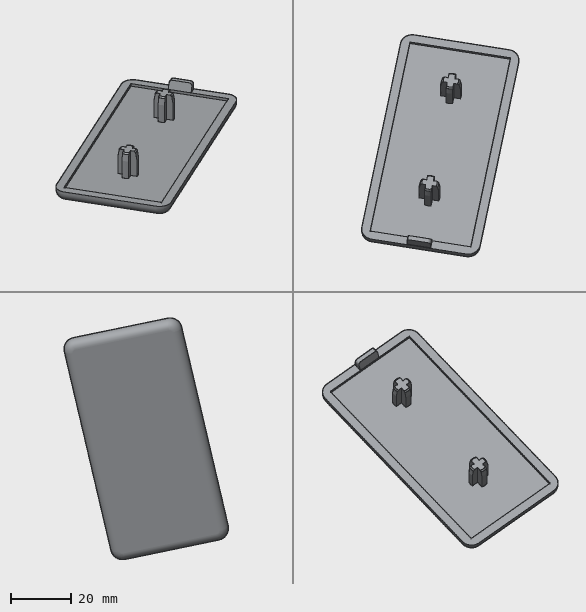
import cadquery as cq

width = 40.0
length = 80.0
plate_height = 4.0
corner_radius = 4.0
bottom_radius = 3.0

recess_width = 34.0
recess_length = 74.0
recess_depth = 1.0
recess_floor = plate_height - recess_depth

post_spacing = 40.0
post_top = 12.5
post_radius = 3.4
x_arm_thickness = 1.9
y_arm_thickness = 2.2
taper_height = 3.0
taper_end_radius = 3.0
tip_height = 0.5
tip_radius = 2.6

tab_width = 8.0
tab_height = 3.0
tab_edge_gap = 0.2
tab_top_depth = 1.6
tab_corner_radius = 1.0


def make_plate():
    """Rounded rectangular plate with a rounded lower edge and a shallow recess."""
    plate = (
        cq.Workplane("XY")
        .rect(width, length)
        .extrude(plate_height)
        .edges("|Z")
        .fillet(corner_radius)
        .faces("<Z")
        .edges()
        .fillet(bottom_radius)
    )
    recess = (
        cq.Workplane("XY", origin=(0, 0, recess_floor))
        .rect(recess_width, recess_length)
        .extrude(recess_depth)
    )
    return plate.cut(recess)


def make_post(y):
    """Cross post on the recess floor, trimmed to a round envelope with a tapered top."""
    height = post_top - recess_floor
    base = cq.Workplane("XY", origin=(0, y, recess_floor))
    x_arm = base.rect(2 * post_radius, x_arm_thickness).extrude(height)
    y_arm = base.rect(y_arm_thickness, 2 * post_radius).extrude(height)
    envelope = (
        cq.Workplane("XZ", origin=(0, y, 0))
        .moveTo(0, recess_floor)
        .lineTo(post_radius, recess_floor)
        .lineTo(post_radius, post_top - taper_height)
        .lineTo(taper_end_radius, post_top - tip_height)
        .lineTo(tip_radius, post_top)
        .lineTo(0, post_top)
        .close()
        .revolve(360, (0, 0, 0), (0, 1, 0))
    )
    return x_arm.union(y_arm).intersect(envelope)


def make_tab():
    """Rim tab with a sloping inner face and rounded upper ends."""
    outer_y = length / 2 - tab_edge_gap
    tab_top = plate_height + tab_height
    return (
        cq.Workplane("YZ", origin=(-tab_width / 2, 0, 0))
        .moveTo(outer_y, plate_height)
        .lineTo(outer_y, tab_top)
        .lineTo(outer_y - tab_top_depth, tab_top)
        .lineTo(recess_length / 2, plate_height)
        .close()
        .extrude(tab_width)
        .edges(">Z and |Y")
        .fillet(tab_corner_radius)
    )


result = make_plate().union(make_tab())
for side in (-1, 1):
    result = result.union(make_post(side * post_spacing / 2))